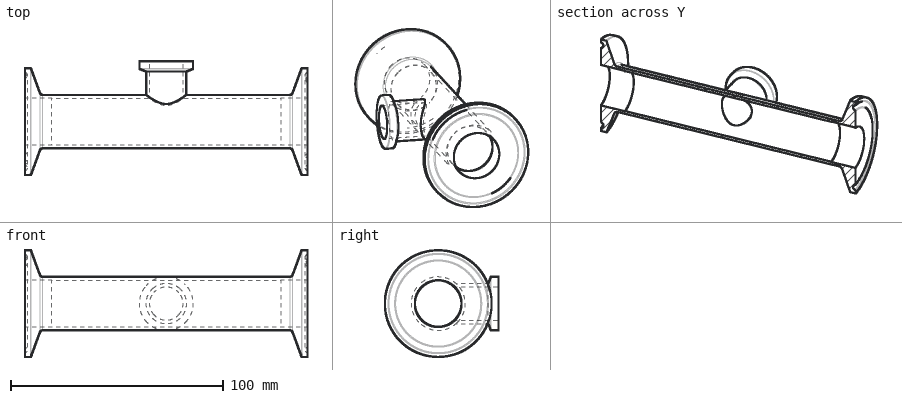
import cadquery as cq
import math

LENGTH = 133.4
TUBE_DIAMETER = 25.3
BORE_DIAMETER = 21.9

FERRULE_LENGTH = 12.7
FERRULE_BORE_DIAMETER = 22.1

FLANGE_DIAMETER = 50.4
FLANGE_RIM = 3.0
FLANGE_BACK_ANGLE = 20.0
FLANGE_EDGE_ROUND = 0.4
FLANGE_NECK_ROUND = 1.2

GROOVE_MEAN_DIAMETER = 43.7
GROOVE_WIDTH = 2.8
GROOVE_DEPTH = 1.2
GROOVE_EDGE_ROUND = 0.5

BRANCH_REACH = 28.5
BRANCH_DIAMETER = 19.1
BRANCH_BORE_DIAMETER = 15.7
BRANCH_FLANGE_DIAMETER = 25.3
BRANCH_FLANGE_RIM = 3.7
BRANCH_BACK_ANGLE = 22.0
BRANCH_EDGE_ROUND = 0.3


def cone_length(pipe_diameter, flange_diameter, back_angle):
    """Length along the axis of the cone between flange rim and pipe."""
    return (flange_diameter - pipe_diameter) / 2 * math.tan(math.radians(back_angle))


def flanged_pipe(length, pipe_diameter, flange_diameter, rim, back_angle):
    """Solid pipe along +X with a cone-backed flange whose face lies at X = 0."""
    pipe_radius = pipe_diameter / 2
    flange_radius = flange_diameter / 2
    neck_x = rim + cone_length(pipe_diameter, flange_diameter, back_angle)
    profile = [
        (0, 0),
        (0, flange_radius),
        (rim, flange_radius),
        (neck_x, pipe_radius),
        (length, pipe_radius),
        (length, 0),
    ]
    return cq.Workplane("XY").polyline(profile).close().revolve(360, (0, 0, 0), (1, 0, 0))


def circle_at(radius, x):
    """Selector for the circular edge of given radius around the X axis at X = x."""
    margin = 0.1
    reach = radius + margin
    return cq.selectors.BoxSelector(
        (x - margin, -reach, -reach), (x + margin, reach, reach), boundingbox=True
    )


def gasket_groove():
    """Ring that cuts the arc-shaped groove into a flange face at X = 0."""
    mean_radius = GROOVE_MEAN_DIAMETER / 2
    return (
        cq.Workplane("XY")
        .moveTo(0, mean_radius - GROOVE_WIDTH / 2)
        .threePointArc((GROOVE_DEPTH, mean_radius), (0, mean_radius + GROOVE_WIDTH / 2))
        .close()
        .revolve(360, (0, 0, 0), (1, 0, 0))
    )


def main_half():
    """Half of the main tube, from its flange face at X = 0 to the middle of the part."""
    half = flanged_pipe(LENGTH / 2, TUBE_DIAMETER, FLANGE_DIAMETER, FLANGE_RIM, FLANGE_BACK_ANGLE)
    flange_radius = FLANGE_DIAMETER / 2
    tube_radius = TUBE_DIAMETER / 2
    neck_x = FLANGE_RIM + cone_length(TUBE_DIAMETER, FLANGE_DIAMETER, FLANGE_BACK_ANGLE)
    half = half.edges(circle_at(flange_radius, FLANGE_RIM)).fillet(FLANGE_EDGE_ROUND)
    half = half.edges(circle_at(tube_radius, neck_x)).fillet(FLANGE_NECK_ROUND)
    half = half.cut(gasket_groove())
    groove_edges = cq.selectors.RadiusNthSelector(0) + cq.selectors.RadiusNthSelector(1)
    return half.faces("<X").edges(groove_edges).fillet(GROOVE_EDGE_ROUND)


def side_branch():
    """Branch from its flange face down to the axis of the main tube."""
    branch = flanged_pipe(
        BRANCH_REACH, BRANCH_DIAMETER, BRANCH_FLANGE_DIAMETER, BRANCH_FLANGE_RIM, BRANCH_BACK_ANGLE
    )
    flange_radius = BRANCH_FLANGE_DIAMETER / 2
    rim_edges = circle_at(flange_radius, 0) + circle_at(flange_radius, BRANCH_FLANGE_RIM)
    branch = branch.edges(rim_edges).fillet(BRANCH_EDGE_ROUND)
    return branch.rotate((0, 0, 0), (0, 0, 1), -90).translate((0, BRANCH_REACH, 0))


left_half = main_half().translate((-LENGTH / 2, 0, 0))
right_half = left_half.mirror("YZ")
body = left_half.union(right_half).union(side_branch())

main_bore = cq.Workplane("YZ").circle(BORE_DIAMETER / 2).extrude(LENGTH / 2, both=True)
branch_bore = cq.Workplane("XZ").circle(BRANCH_BORE_DIAMETER / 2).extrude(-BRANCH_REACH)
result = body.cut(main_bore).cut(branch_bore)

for ferrule_start in (-LENGTH / 2, LENGTH / 2 - FERRULE_LENGTH):
    ferrule_bore = (
        cq.Workplane("YZ", origin=(ferrule_start, 0, 0))
        .circle(FERRULE_BORE_DIAMETER / 2)
        .extrude(FERRULE_LENGTH)
    )
    result = result.cut(ferrule_bore)